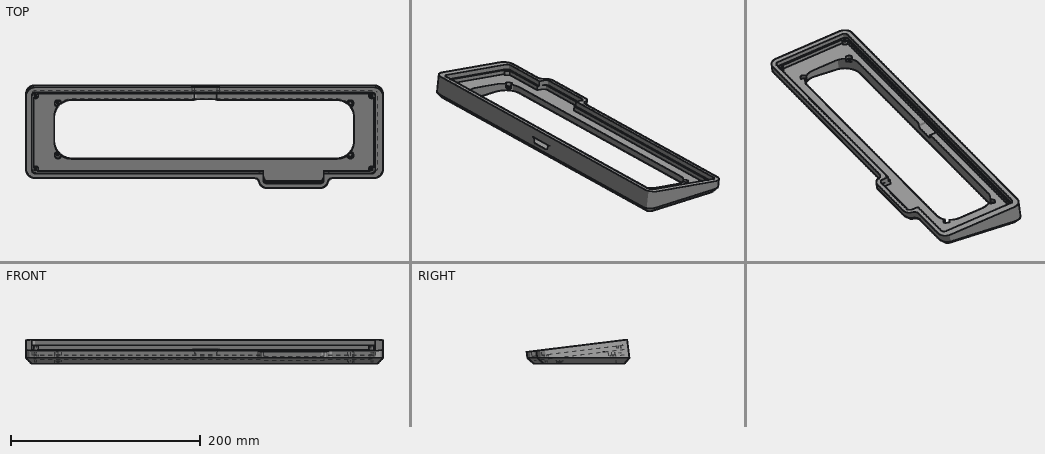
import cadquery as cq
import math


TILT = 7.0
LENGTH = 377.2
BODY_WIDTH = 96.5
BACK_HEIGHT = 25.5
CORNER_RADIUS = 9.8
BASE_CHAMFER = 6.22

TAB_REACH = 10.5
TAB_CENTER = 94.0
TAB_TIP_WIDTH = 56.5
TAB_CORNER_RADIUS = 8.3
TAB_ROOT_RADIUS = 5.3

RIM_BACK = 5.5
RIM_FRONT = 5.0
RIM_LEFT = 6.5
RIM_RIGHT = 8.3
TAB_SEAT_WIDTH = 64.0
SEAT_DEPTH = 5.3
SEAT_RADIUS = 3.8
LEDGE = 2.0
FLOOR_DEPTH = 9.8

BOSS_INSET = 3.8
BOSS_RADIUS = 3.0
SCREW_DIAMETER = 2.0
SCREW_DEPTH = 7.5

WINDOW_LEFT = -158.5
WINDOW_RIGHT = 157.5
WINDOW_FRONT_MARGIN = 19.2
WINDOW_BACK_MARGIN = 14.7
WINDOW_RADIUS = 18.0
POCKET_INSET = 3.8
POCKET_RADIUS = 3.5
POCKET_DEPTH = 4.0
WIDE_HOLE_DIAMETER = 4.0
POCKET_HOLE_DEPTH = 1.0

NOTCH_CENTER = 1.0
NOTCH_WIDTH = 23.5
NOTCH_DEPTH = 5.5
NOTCH_RADIUS = 2.5

LEFT = -LENGTH / 2
RIGHT = LENGTH / 2
FRONT = -BODY_WIDTH / 2
BACK = BODY_WIDTH / 2
TAB_FRONT = FRONT - TAB_REACH
SEAT_LEFT = LEFT + RIM_LEFT
SEAT_RIGHT = RIGHT - RIM_RIGHT
SEAT_FRONT = FRONT + RIM_FRONT
SEAT_BACK = BACK - RIM_BACK
WINDOW_FRONT = FRONT + WINDOW_FRONT_MARGIN
WINDOW_BACK = BACK - WINDOW_BACK_MARGIN
BLANK_DEPTH = 2 * BACK_HEIGHT


def block(left, right, front, back, top, bottom, radius=0):
    """Box between two depths, with its upright edges rounded."""
    box = cq.Workplane().box(right - left, back - front, bottom - top)
    if radius:
        box = box.edges("|Z").fillet(radius)
    return box.translate(((left + right) / 2, (front + back) / 2, -(top + bottom) / 2))


def posts(points, radius, top, bottom):
    """Round posts between two depths."""
    return cq.Workplane().workplane(offset=-bottom).pushPoints(points).circle(radius).extrude(bottom - top)


def corners(left, right, front, back, inset):
    """Points set in from the four corners of a rectangle."""
    return [(x, y) for x in (left + inset, right - inset) for y in (front + inset, back - inset)]


def make_tab():
    """Tab whose sides sweep out of the body front in two tangent arcs."""
    arc_sum = TAB_ROOT_RADIUS + TAB_CORNER_RADIUS
    sweep = math.sqrt(TAB_REACH * (2 * arc_sum - TAB_REACH))
    share = TAB_CORNER_RADIUS / arc_sum
    tip = TAB_TIP_WIDTH / 2
    foot = tip + sweep
    joint = tip + sweep * share
    joint_y = TAB_FRONT + TAB_REACH * share
    outline = (
        cq.Workplane(origin=(TAB_CENTER, 0, 0))
        .moveTo(-foot, 0)
        .lineTo(-foot, FRONT)
        .radiusArc((-joint, joint_y), TAB_ROOT_RADIUS)
        .radiusArc((-tip, TAB_FRONT), -TAB_CORNER_RADIUS)
        .lineTo(tip, TAB_FRONT)
        .radiusArc((joint, joint_y), -TAB_CORNER_RADIUS)
        .radiusArc((foot, FRONT), TAB_ROOT_RADIUS)
        .lineTo(foot, 0)
        .close()
    )
    return outline.extrude(-BLANK_DEPTH)


def make_blank():
    """Main body and tab, down past the base."""
    return block(LEFT, RIGHT, FRONT, BACK, 0, BLANK_DEPTH, CORNER_RADIUS).union(make_tab())


def make_recess():
    """Space above the ledge and floor, less the corner bosses."""
    seat = block(SEAT_LEFT, SEAT_RIGHT, SEAT_FRONT, SEAT_BACK, 0, SEAT_DEPTH, SEAT_RADIUS)
    floor = block(
        SEAT_LEFT + LEDGE, SEAT_RIGHT - LEDGE, SEAT_FRONT + LEDGE, SEAT_BACK - LEDGE, 0, FLOOR_DEPTH
    )
    boss_points = corners(SEAT_LEFT, SEAT_RIGHT, SEAT_FRONT, SEAT_BACK, BOSS_INSET)
    bosses = posts(boss_points, BOSS_RADIUS, SEAT_DEPTH, FLOOR_DEPTH)
    screw_holes = posts(boss_points, SCREW_DIAMETER / 2, 0, SEAT_DEPTH + SCREW_DEPTH)

    tab_left = TAB_CENTER - TAB_SEAT_WIDTH / 2
    tab_right = TAB_CENTER + TAB_SEAT_WIDTH / 2
    tab_front = TAB_FRONT + RIM_FRONT
    tab_seat = block(tab_left, tab_right, tab_front, 0, 0, SEAT_DEPTH, SEAT_RADIUS)
    tab_floor = block(tab_left, tab_right, tab_front + LEDGE, 0, 0, FLOOR_DEPTH, SEAT_RADIUS)
    return seat.union(floor).cut(bosses).union(screw_holes).union(tab_seat).union(tab_floor)


def make_window():
    """Opening through the floor and the pockets in its corners."""
    bounds = (WINDOW_LEFT, WINDOW_RIGHT, WINDOW_FRONT, WINDOW_BACK)
    window = block(*bounds, 0, BLANK_DEPTH, WINDOW_RADIUS)
    pocket_points = corners(*bounds, POCKET_INSET)
    pockets = posts(pocket_points, POCKET_RADIUS, FLOOR_DEPTH, FLOOR_DEPTH + POCKET_DEPTH)
    hole_bottom = FLOOR_DEPTH + POCKET_DEPTH + POCKET_HOLE_DEPTH
    left_holes = posts([p for p in pocket_points if p[0] < 0], SCREW_DIAMETER / 2, FLOOR_DEPTH, hole_bottom)
    right_holes = posts([p for p in pocket_points if p[0] > 0], WIDE_HOLE_DIAMETER / 2, FLOOR_DEPTH, hole_bottom)
    return window.union(pockets).union(left_holes).union(right_holes)


def make_notch():
    """Flat-bottomed channel through the back, its sides rolling out onto the floor."""
    half = NOTCH_WIDTH / 2
    r = NOTCH_RADIUS
    profile = (
        cq.Workplane("XZ", origin=(NOTCH_CENTER, 2 * BACK, -FLOOR_DEPTH))
        .moveTo(-half - r, 0)
        .radiusArc((-half, -r), r)
        .lineTo(-half, r - NOTCH_DEPTH)
        .radiusArc((-half + r, -NOTCH_DEPTH), -r)
        .lineTo(half - r, -NOTCH_DEPTH)
        .radiusArc((half, r - NOTCH_DEPTH), -r)
        .lineTo(half, -r)
        .radiusArc((half + r, 0), r)
        .close()
    )
    return profile.extrude(2 * BACK)


def tilt(shape):
    """Slope the rim down to the front, its back edge at full height."""
    drop = BACK * math.sin(math.radians(TILT))
    return shape.rotate((0, 0, 0), (1, 0, 0), TILT).translate((0, 0, BACK_HEIGHT - drop))


ground = block(-LENGTH, LENGTH, -LENGTH, LENGTH, 0, LENGTH)
shell = tilt(make_blank()).cut(ground).faces("<Z").chamfer(BASE_CHAMFER)
hollow = make_recess().union(make_window()).union(make_notch())
result = shell.cut(tilt(hollow))